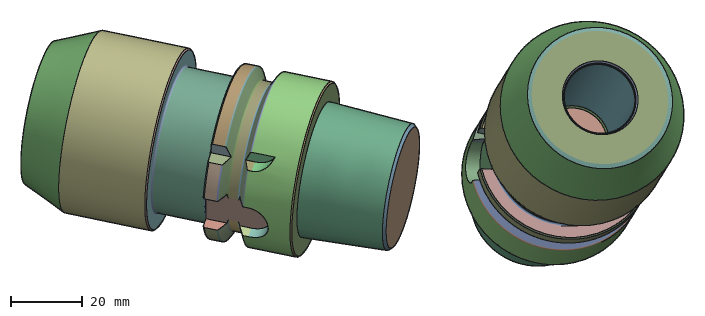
import cadquery as cq

LENGTH = 105.0

NOSE_RADIUS = 20.4
NOSE_EDGE_AXIAL = 0.3
NOSE_EDGE_RADIAL = 1.0
BODY_RADIUS = 52.0 / 2
BODY_START = 12.8
BODY_END = 38.1
BODY_EDGE = 0.4

NECK_RADIUS = 41.6 / 2
NECK_FILLET = 0.5

FLANGE_RADIUS = 50.0 / 2
FLANGE_START = 54.0
FLANGE_END = 79.8
FLANGE_EDGE = 0.4
GROOVE_RADIUS = 21.4
GROOVE_START = 60.3
GROOVE_END = 63.5
GROOVE_FLARE = 2.0
GROOVE_BLEND = 0.5

SHANK_ROOT_RADIUS = 19.3
SHANK_END_RADIUS = 18.1
SHANK_EDGE = 0.8

BORE_RADIUS = 20.0 / 2
BORE_MOUTH_RADIUS = 10.7
BORE_MOUTH_CHAMFER = 0.5
BORE_STEP_RADIUS = 20.5 / 2
BORE_STEP_DEPTH = 1.0
BORE_FLOOR_CHAMFER = 0.5
BORE_DEPTH = 42.0

SLOT_WIDTH = 11.8
SLOT_END = 73.1
SLOT_FLOOR = 20.95

NOTCH_CORNER = 15.8
NOTCH_END_RADIUS = 6.3
NOTCH_FLAT_END = 66.8


def turned_body():
    """Solid of revolution carrying every turned outer surface."""
    nose_slope = (BODY_RADIUS - NOSE_RADIUS) / BODY_START
    profile = (
        cq.Workplane("XY")
        .moveTo(0, 0)
        .lineTo(0, NOSE_RADIUS - NOSE_EDGE_RADIAL)
        .lineTo(NOSE_EDGE_AXIAL, NOSE_RADIUS + nose_slope * NOSE_EDGE_AXIAL)
        .lineTo(BODY_START, BODY_RADIUS)
        .lineTo(BODY_END - BODY_EDGE, BODY_RADIUS)
        .lineTo(BODY_END, BODY_RADIUS - BODY_EDGE)
        .lineTo(BODY_END, NECK_RADIUS + NECK_FILLET)
        .radiusArc((BODY_END + NECK_FILLET, NECK_RADIUS), -NECK_FILLET)
        .lineTo(FLANGE_START - NECK_FILLET, NECK_RADIUS)
        .radiusArc((FLANGE_START, NECK_RADIUS + NECK_FILLET), -NECK_FILLET)
        .lineTo(FLANGE_START, FLANGE_RADIUS - FLANGE_EDGE)
        .lineTo(FLANGE_START + FLANGE_EDGE, FLANGE_RADIUS)
        .lineTo(GROOVE_START - GROOVE_FLARE, FLANGE_RADIUS)
        .lineTo(GROOVE_START, GROOVE_RADIUS)
        .lineTo(GROOVE_END, GROOVE_RADIUS)
        .lineTo(GROOVE_END + GROOVE_FLARE, FLANGE_RADIUS)
        .lineTo(FLANGE_END - FLANGE_EDGE, FLANGE_RADIUS)
        .lineTo(FLANGE_END, FLANGE_RADIUS - FLANGE_EDGE)
        .lineTo(FLANGE_END, SHANK_ROOT_RADIUS)
        .lineTo(LENGTH - SHANK_EDGE, SHANK_END_RADIUS)
        .lineTo(LENGTH, SHANK_END_RADIUS - SHANK_EDGE)
        .lineTo(LENGTH, 0)
        .close()
    )
    return profile.revolve(360, (0, 0, 0), (1, 0, 0))


def is_groove_edge(edge):
    """True for the circular rims and floor corners of the gripper groove."""
    groove_middle = (GROOVE_START + GROOVE_END) / 2
    reach = GROOVE_END - groove_middle + GROOVE_FLARE + GROOVE_BLEND
    return edge.geomType() == "CIRCLE" and abs(edge.Center().x - groove_middle) < reach



def tool_bore():
    """Blind bore with a chamfered mouth, a shallow step and a bevelled floor edge."""
    profile = (
        cq.Workplane("XY")
        .lineTo(0, BORE_MOUTH_RADIUS)
        .lineTo(BORE_MOUTH_CHAMFER, BORE_STEP_RADIUS)
        .lineTo(BORE_STEP_DEPTH, BORE_STEP_RADIUS)
        .lineTo(BORE_STEP_DEPTH, BORE_RADIUS)
        .lineTo(BORE_DEPTH - BORE_FLOOR_CHAMFER, BORE_RADIUS)
        .lineTo(BORE_DEPTH, BORE_RADIUS - BORE_FLOOR_CHAMFER)
        .lineTo(BORE_DEPTH, 0)
        .close()
    )
    return profile.revolve(360, (0, 0, 0), (1, 0, 0))


def drive_slot(side):
    """Round-ended slot, open to the neck, on the +Y (side 1) or -Y (side -1) face."""
    half_width = SLOT_WIDTH / 2
    arc_center = SLOT_END - half_width
    return (
        cq.Workplane("XZ", origin=(0, side * SLOT_FLOOR, 0))
        .moveTo(FLANGE_START, -half_width)
        .lineTo(arc_center, -half_width)
        .threePointArc((SLOT_END, 0), (arc_center, half_width))
        .lineTo(FLANGE_START, half_width)
        .close()
        .extrude(-side * BODY_RADIUS)
    )


def orientation_notch():
    """Right-angled notch at 45 degrees between -Y and +Z, its floor curving up at the end."""
    arc_end = NOTCH_FLAT_END + NOTCH_END_RADIUS
    arc_center_z = NOTCH_CORNER + NOTCH_END_RADIUS
    return (
        cq.Workplane("XZ", origin=(0, -NOTCH_CORNER, 0))
        .moveTo(FLANGE_START, NOTCH_CORNER)
        .lineTo(NOTCH_FLAT_END, NOTCH_CORNER)
        .radiusArc((arc_end, arc_center_z), -NOTCH_END_RADIUS)
        .lineTo(arc_end, BODY_RADIUS)
        .lineTo(FLANGE_START, BODY_RADIUS)
        .close()
        .extrude(BODY_RADIUS)
    )


result = turned_body()
result = result.edges().filter(is_groove_edge).fillet(GROOVE_BLEND)
result = result.cut(tool_bore())
for slot_side in (-1, 1):
    result = result.cut(drive_slot(slot_side))
result = result.cut(orientation_notch())